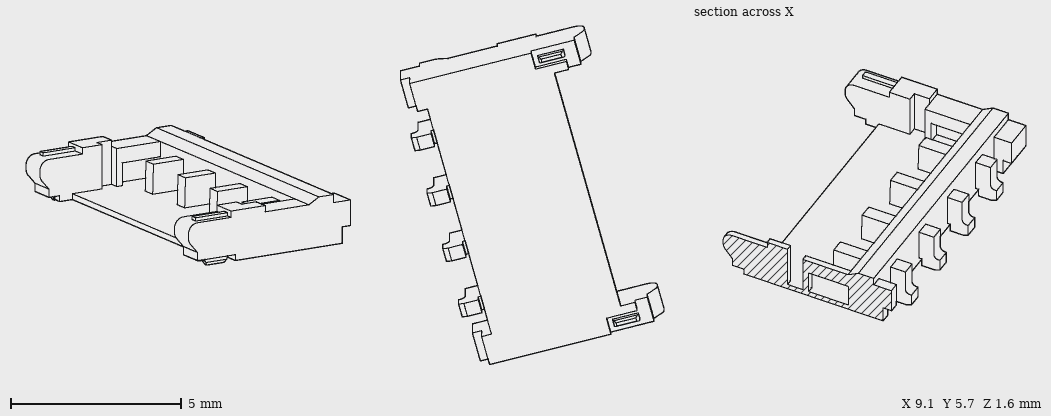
import cadquery as cq
import math


width = 9.1
height = 1.6
half_width = width / 2
body_bottom = 0.07
floor_top = 0.255
floor_front = 1.12

cheek_thickness = 0.78
cheek_top = 1.41
cheek_inner = half_width - cheek_thickness

block_front = 1.465
block_back = 2.65
slot_front = 2.15
slot_depth = 0.28

nose_radius = 0.31
nose_flat = 0.12
chin_radius = 0.31
chin_angle = 45.0
chin_setback = 0.31
chin_bottom = 0.51

outer_step_front = 1.62
inner_step_front = 0.68
outer_step_width = 0.52

recess_depth = 0.355
recess_front = 2.85
recess_top = 0.95

wall_front = 4.15
wall_back = 5.005
shoulder_front = 4.495

ear_width = 0.91
ear_back = 5.59
ear_foot_back = 5.305
ear_top = 1.36
ear_bottom = 0.57

strip_width = 0.19
strip_edge_distance = 0.28
strip_center = half_width - strip_edge_distance
rib_front = 0.36
rib_height = 0.1
pad_front = inner_step_front
pad_back = block_front
pad_end_bevel_height = 0.155
pad_end_bevel_inset = 0.09
pad_side_bevel_height = 0.1
pad_side_bevel_inset = 0.05

pin_count = 4
pin_pitch = 1.79
pin_width = 0.42
pin_front = 3.09
blade_top = 1.165
blade_tip_lean = 0.03
bar_top = 1.25
leg_front = 5.1
leg_back = 5.5
foot_back = 5.7
foot_top = 0.44
foot_bend_radius = 0.15
foot_chamfer_height = 0.06
foot_chamfer_length = 0.16


def box(x_range, y_range, z_range):
    """Box spanning the given (low, high) ranges."""
    size = [high - low for low, high in (x_range, y_range, z_range)]
    corner = (x_range[0], y_range[0], z_range[0])
    return cq.Workplane("XY").box(*size, centered=False).translate(corner)


def extrude_side(outline, x_start, length):
    """Close a YZ profile and extrude it along +X from x_start."""
    return outline.close().extrude(length).translate((x_start, 0, 0))


def both_sides(solid):
    """The solid together with its mirror image across X = 0."""
    return solid.union(solid.mirror("YZ"))


def make_floor():
    return box((-half_width + outer_step_width, half_width - outer_step_width),
               (floor_front, wall_back), (body_bottom, floor_top))


def make_rear_wall():
    profile = (
        cq.Workplane("YZ")
        .moveTo(wall_front, body_bottom)
        .lineTo(wall_back, body_bottom)
        .lineTo(wall_back, height)
        .lineTo(shoulder_front, height)
        .lineTo(wall_front, cheek_top)
    )
    return extrude_side(profile, -half_width, width)


def make_cheek():
    """Right-hand cheek with its arm, block, slot, recess and stepped underside."""
    nose_center_z = cheek_top - nose_radius
    nose_flat_bottom = nose_center_z - nose_flat
    diagonal = math.sqrt(0.5)
    angle = math.radians(chin_angle)
    chin_mid = (chin_radius * (1 - math.cos(angle / 2)),
                nose_flat_bottom - chin_radius * math.sin(angle / 2))
    chin_end = (chin_radius * (1 - math.cos(angle)),
                nose_flat_bottom - chin_radius * math.sin(angle))
    profile = (
        cq.Workplane("YZ")
        .moveTo(wall_back, floor_top)
        .lineTo(wall_back, cheek_top)
        .lineTo(block_back, cheek_top)
        .lineTo(block_back, height)
        .lineTo(block_front, height)
        .lineTo(block_front, cheek_top)
        .lineTo(nose_radius, cheek_top)
        .threePointArc((nose_radius * (1 - diagonal), nose_center_z + nose_radius * diagonal),
                       (0, nose_center_z))
        .lineTo(0, nose_flat_bottom)
        .threePointArc(chin_mid, chin_end)
        .lineTo(chin_setback, chin_bottom)
        .lineTo(chin_setback, floor_top)
    )
    cheek = extrude_side(profile, cheek_inner, cheek_thickness)

    outer_step_inner = half_width - outer_step_width
    cheek = cheek.union(box((outer_step_inner, half_width),
                            (outer_step_front, wall_back), (body_bottom, floor_top)))
    cheek = cheek.union(box((cheek_inner, outer_step_inner),
                            (inner_step_front, wall_back), (body_bottom, floor_top)))

    slot = box((cheek_inner, cheek_inner + slot_depth),
               (slot_front, block_back), (floor_top, height))
    recess = box((cheek_inner, cheek_inner + recess_depth),
                 (recess_front, wall_front), (floor_top, recess_top))
    return cheek.cut(slot).cut(recess)


def make_ear():
    """Right-hand rear ear, undercut below to clear its foot."""
    x_range = (half_width - ear_width, half_width)
    upper = box(x_range, (wall_back, ear_back), (ear_bottom, ear_top))
    lower = box(x_range, (wall_back, ear_foot_back), (body_bottom, ear_bottom))
    return upper.union(lower)


def bevelled_outline(plane, low, high, inset, bevel_height):
    """Open outline of the pad, from Z = 0 to the floor top, bevelled at both bottom corners."""
    return (
        cq.Workplane(plane)
        .moveTo(low, floor_top)
        .lineTo(low, bevel_height)
        .lineTo(low + inset, 0)
        .lineTo(high - inset, 0)
        .lineTo(high, bevel_height)
        .lineTo(high, floor_top)
    )


def make_strip():
    """Right-hand rib above the arm and bevelled pad below it."""
    x_range = (strip_center - strip_width / 2, strip_center + strip_width / 2)
    rib = box(x_range, (rib_front, block_front), (cheek_top, cheek_top + rib_height))
    end_bevelled = extrude_side(
        bevelled_outline("YZ", pad_front, pad_back, pad_end_bevel_inset, pad_end_bevel_height),
        x_range[0], strip_width)
    side_bevelled = (
        bevelled_outline("XZ", *x_range, pad_side_bevel_inset, pad_side_bevel_height)
        .close()
        .extrude(-pad_back)
    )
    return rib.union(end_bevelled.intersect(side_bevelled))


def make_pin(x_center):
    """Blade through the rear wall, stepping up to a bar that bends down into a solder foot."""
    bend_offset = foot_bend_radius * (1 - math.sqrt(0.5))
    profile = (
        cq.Workplane("YZ")
        .moveTo(pin_front, floor_top)
        .lineTo(pin_front + blade_tip_lean, blade_top)
        .lineTo(wall_back, blade_top)
        .lineTo(wall_back, bar_top)
        .lineTo(leg_back, bar_top)
        .lineTo(leg_back, foot_top + foot_bend_radius)
        .threePointArc((leg_back + bend_offset, foot_top + bend_offset),
                       (leg_back + foot_bend_radius, foot_top))
        .lineTo(foot_back, foot_top)
        .lineTo(foot_back, foot_chamfer_height)
        .lineTo(foot_back - foot_chamfer_length, 0)
        .lineTo(leg_front, 0)
        .lineTo(leg_front, floor_top)
    )
    return extrude_side(profile, x_center - pin_width / 2, pin_width)


result = make_floor().union(make_rear_wall())
for side_feature in (make_cheek(), make_ear(), make_strip()):
    result = result.union(both_sides(side_feature))

for index in range(pin_count):
    pin_x = (index - (pin_count - 1) / 2) * pin_pitch
    result = result.union(make_pin(pin_x))